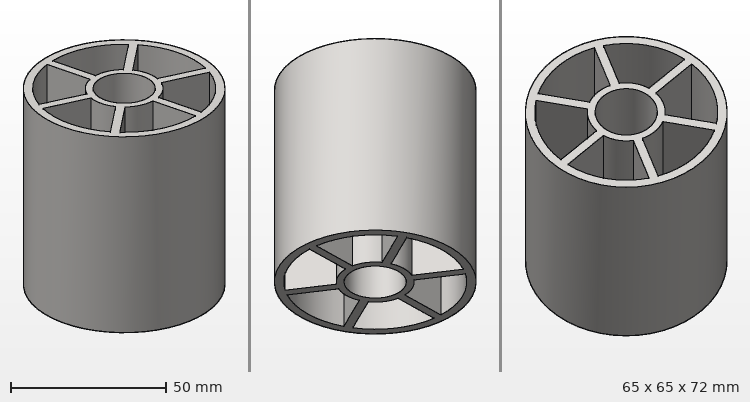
import cadquery as cq

height = 72.0
outer_diameter = 65.0
rim_thickness = 3.0
bore_diameter = 20.0
hub_thickness = 2.5
spoke_thickness = 3.0
spoke_count = 6

outer_radius = outer_diameter / 2
rim_inner_radius = outer_radius - rim_thickness
bore_radius = bore_diameter / 2
hub_radius = bore_radius + hub_thickness


def tube(radius, inner_radius):
    """Full-height ring, standing on the XY plane."""
    return cq.Workplane("XY").circle(radius).circle(inner_radius).extrude(height)


def spoke(angle):
    """Radial web running from mid hub wall to mid rim wall."""
    start = (bore_radius + hub_radius) / 2
    end = (rim_inner_radius + outer_radius) / 2
    web = (
        cq.Workplane("XY")
        .center((start + end) / 2, 0)
        .rect(end - start, spoke_thickness)
        .extrude(height)
    )
    return web.rotate((0, 0, 0), (0, 0, 1), angle)


rim = tube(outer_radius, rim_inner_radius)
hub = tube(hub_radius, bore_radius)
result = rim.union(hub)
for index in range(spoke_count):
    result = result.union(spoke(index * 360 / spoke_count))